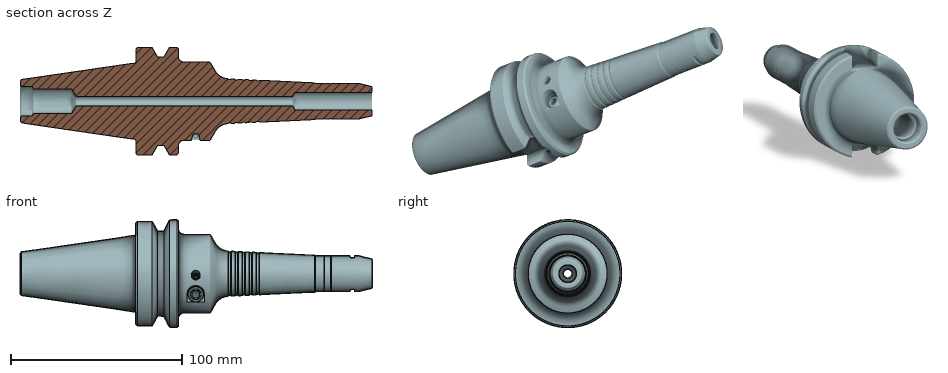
import cadquery as cq
import math


GAUGE_DIAMETER = 44.45
SHANK_LENGTH = 65.4
SHANK_TAPER = 7 / 24
SHANK_CHAMFER = 0.8

FLANGE_DIAMETER = 63.0
FLANGE_START = 2.0
FLANGE_END = 27.0
FLANGE_CHAMFER = 1.0
FLANGE_ROOT_FILLET = 1.0
GROOVE_CENTRE = 16.6
GROOVE_TOP_WIDTH = 10.0
GROOVE_BOTTOM_WIDTH = 3.7
GROOVE_FLANK_ANGLE = 60.0

KEYWAY_WIDTH = 16.1
KEYWAY_FLOOR = 22.5
KEYWAY_END = 23.2

COLLAR_DIAMETER = 46.0
COLLAR_END = 45.4
COLLAR_FILLET = 3.0
COLLAR_EDGE_FILLET = 1.0
SHOULDER_ANGLE = 60.0
NECK_FILLET = 9.0

NECK_END = 106.4
NECK_END_DIAMETER = 21.7
NECK_ANGLE = 2.7
NECK_STEP_LENGTH = 0.6
NOSE_DIAMETER = 21.0
NOSE_TAPER_START = 132.2
NOSE_END = 140.0
NOSE_END_DIAMETER = 17.2
NOSE_FILLET = 1.0

NECK_GROOVE_COUNT = 5
NECK_GROOVE_START = 55.75
NECK_GROOVE_PITCH = 4.1
NECK_GROOVE_WIDTH = 2.0
NECK_GROOVE_FLOOR_WIDTH = 1.24
NECK_GROOVE_DEPTH = 0.4
GROOVE_CUTTER_OVERLAP = 0.01

NOSE_GROOVE_PLACES = (111.7, 115.6)
NOSE_GROOVE_WIDTH = 0.5
NOSE_GROOVE_DEPTH = 0.2

NOSE_POCKET_START = 127.5
NOSE_POCKET_END = 129.6
NOSE_POCKET_FLOOR = 9.3
NOSE_POCKET_FLANK_ANGLE = 60.0
NOSE_POCKET_CLEARANCE = 1.0

PULL_BORE_DIAMETER = 17.0
PULL_BORE_MOUTH_DIAMETER = 18.8
PULL_BORE_DEPTH = 7.0
THREAD_DIAMETER = 16.0
THREAD_CORE_DIAMETER = 14.0
THREAD_RUN_IN_DIAMETER = 14.25
THREAD_RUN_IN_LENGTH = 1.5
THREAD_DEPTH = 30.0
DRILL_POINT_ANGLE = 118.0
COOLANT_DIAMETER = 5.0
TOOL_BORE_DIAMETER = 10.0
TOOL_BORE_MOUTH_DIAMETER = 10.4
TOOL_BORE_DEPTH = 45.0

SCREW_X = 37.0
SCREW_CHAMFER_ANGLE = 45.0

CLAMP_SCREW_Z = -12.0
SPOT_FACE_WIDTH = 10.0
SPOT_FACE_Y = -16.1
CLAMP_SCREW_DIAMETER = 9.0
CLAMP_SCREW_FACE_DIAMETER = 6.2
CLAMP_SOCKET_DIAMETER = 4.62
CLAMP_SOCKET_DEPTH = 3.0

VENT_Z = -0.8
VENT_TILT = 22.0
VENT_DEPTH = 2.5
VENT_SCREW_DIAMETER = 5.0
VENT_SCREW_FACE_DIAMETER = 3.0
VENT_SOCKET_DIAMETER = 2.31
VENT_SOCKET_DEPTH = 1.5


def tan(degrees):
    return math.tan(math.radians(degrees))


def towards(start, end, length):
    """Point at a length from start on the way to end."""
    share = length / math.dist(start, end)
    return tuple(s + share * (e - s) for s, e in zip(start, end))


def add_rounded_corner(profile, before, corner, after, radius):
    """Run the profile up to a corner and round it with a tangent arc."""
    ux, ur = towards(corner, before, 1)
    vx, vr = towards(corner, after, 1)
    dx, dr = ux - corner[0], ur - corner[1]
    ex, er = vx - corner[0], vr - corner[1]
    half_angle = math.acos(dx * ex + dr * er) / 2
    tangent_length = radius / math.tan(half_angle)
    arc_middle_distance = radius / math.sin(half_angle) - radius
    bisector_point = (corner[0] + dx + ex, corner[1] + dr + er)
    return profile.lineTo(*towards(corner, before, tangent_length)).threePointArc(
        towards(corner, bisector_point, arc_middle_distance),
        towards(corner, after, tangent_length),
    )


def revolve(corners):
    """Solid of revolution about X from (x, r) or (x, r, fillet radius) corners, axis to axis."""
    points = [corner[:2] for corner in corners]
    profile = cq.Workplane("XY").moveTo(*points[0])
    for i in range(1, len(corners)):
        if len(corners[i]) == 3:
            profile = add_rounded_corner(
                profile, points[i - 1], points[i], points[i + 1], corners[i][2]
            )
        else:
            profile = profile.lineTo(*points[i])
    return profile.close().revolve(360, (0, 0, 0), (1, 0, 0))


def neck_radius(x):
    return NECK_END_DIAMETER / 2 + (NECK_END - x) * tan(NECK_ANGLE)


def make_body():
    gauge_r = GAUGE_DIAMETER / 2
    small_r = gauge_r - SHANK_LENGTH * SHANK_TAPER / 2
    flange_r = FLANGE_DIAMETER / 2
    collar_r = COLLAR_DIAMETER / 2
    nose_r = NOSE_DIAMETER / 2
    groove_flank = (GROOVE_TOP_WIDTH - GROOVE_BOTTOM_WIDTH) / 2
    groove_r = flange_r - groove_flank * tan(GROOVE_FLANK_ANGLE)
    shoulder_length = (collar_r - neck_radius(COLLAR_END)) / (tan(SHOULDER_ANGLE) - tan(NECK_ANGLE))
    neck_start = COLLAR_END + shoulder_length
    return revolve(
        [
            (-SHANK_LENGTH, 0),
            (-SHANK_LENGTH, small_r - SHANK_CHAMFER),
            (-SHANK_LENGTH + SHANK_CHAMFER, small_r + SHANK_CHAMFER * SHANK_TAPER / 2),
            (0, gauge_r),
            (FLANGE_START, gauge_r, FLANGE_ROOT_FILLET),
            (FLANGE_START, flange_r - FLANGE_CHAMFER),
            (FLANGE_START + FLANGE_CHAMFER, flange_r),
            (GROOVE_CENTRE - GROOVE_TOP_WIDTH / 2, flange_r),
            (GROOVE_CENTRE - GROOVE_BOTTOM_WIDTH / 2, groove_r),
            (GROOVE_CENTRE + GROOVE_BOTTOM_WIDTH / 2, groove_r),
            (GROOVE_CENTRE + GROOVE_TOP_WIDTH / 2, flange_r),
            (FLANGE_END - FLANGE_CHAMFER, flange_r),
            (FLANGE_END, flange_r - FLANGE_CHAMFER),
            (FLANGE_END, collar_r, COLLAR_FILLET),
            (COLLAR_END, collar_r, COLLAR_EDGE_FILLET),
            (neck_start, neck_radius(neck_start), NECK_FILLET),
            (NECK_END, neck_radius(NECK_END)),
            (NECK_END + NECK_STEP_LENGTH, nose_r),
            (NOSE_TAPER_START, nose_r),
            (NOSE_END, NOSE_END_DIAMETER / 2, NOSE_FILLET),
            (NOSE_END, 0),
        ]
    )


def ring_cutter(start, end, radius, floor_start, floor_end, depth):
    """Ring with a trapezoid section that cuts a groove from just outside the surface."""
    return (
        cq.Workplane("XY")
        .polyline(
            [
                (start, radius(start) + GROOVE_CUTTER_OVERLAP),
                (floor_start, radius(floor_start) - depth),
                (floor_end, radius(floor_end) - depth),
                (end, radius(end) + GROOVE_CUTTER_OVERLAP),
            ]
        )
        .close()
        .revolve(360, (0, 0, 0), (1, 0, 0))
    )


def cut_ring_grooves(body):
    flank = (NECK_GROOVE_WIDTH - NECK_GROOVE_FLOOR_WIDTH) / 2
    for i in range(NECK_GROOVE_COUNT):
        start = NECK_GROOVE_START + i * NECK_GROOVE_PITCH
        end = start + NECK_GROOVE_WIDTH
        body = body.cut(
            ring_cutter(start, end, neck_radius, start + flank, end - flank, NECK_GROOVE_DEPTH)
        )
    for start in NOSE_GROOVE_PLACES:
        end = start + NOSE_GROOVE_WIDTH
        body = body.cut(
            ring_cutter(start, end, lambda x: NOSE_DIAMETER / 2, start, end, NOSE_GROOVE_DEPTH)
        )
    return body


def cut_keyways(body):
    half = KEYWAY_WIDTH / 2
    straight_end = KEYWAY_END - half
    keyway = (
        cq.Workplane("XY", origin=(0, 0, KEYWAY_FLOOR))
        .moveTo(0, -half)
        .lineTo(straight_end, -half)
        .threePointArc((KEYWAY_END, 0), (straight_end, half))
        .lineTo(0, half)
        .close()
        .extrude(FLANGE_DIAMETER / 2)
    )
    return body.cut(keyway).cut(keyway.mirror("XY"))


def cut_nose_pockets(body):
    top = NOSE_DIAMETER / 2 + NOSE_POCKET_CLEARANCE
    slope = (top - NOSE_POCKET_FLOOR) / tan(NOSE_POCKET_FLANK_ANGLE)
    pocket = (
        cq.Workplane("XZ")
        .polyline(
            [
                (NOSE_POCKET_START, NOSE_POCKET_FLOOR),
                (NOSE_POCKET_END, NOSE_POCKET_FLOOR),
                (NOSE_POCKET_END, top),
                (NOSE_POCKET_START - slope, top),
            ]
        )
        .close()
        .extrude(NOSE_DIAMETER / 2, both=True)
    )
    return body.cut(pocket).cut(pocket.mirror("XY"))


def cut_axial_bores(body):
    pull_r = PULL_BORE_DIAMETER / 2
    mouth_r = PULL_BORE_MOUTH_DIAMETER / 2
    thread_r = THREAD_DIAMETER / 2
    run_in_r = THREAD_RUN_IN_DIAMETER / 2
    core_r = THREAD_CORE_DIAMETER / 2
    coolant_r = COOLANT_DIAMETER / 2
    tool_r = TOOL_BORE_DIAMETER / 2
    tool_mouth_r = TOOL_BORE_MOUTH_DIAMETER / 2
    pull_end = PULL_BORE_DEPTH - SHANK_LENGTH
    run_in_start = pull_end + thread_r - run_in_r
    run_in_end = run_in_start + THREAD_RUN_IN_LENGTH
    thread_end = THREAD_DEPTH - SHANK_LENGTH
    point_slope = tan(DRILL_POINT_ANGLE / 2)
    tool_bottom = NOSE_END - TOOL_BORE_DEPTH
    bore = revolve(
        [
            (-SHANK_LENGTH, 0),
            (-SHANK_LENGTH, mouth_r),
            (-SHANK_LENGTH + mouth_r - pull_r, pull_r),
            (pull_end, pull_r),
            (pull_end, thread_r),
            (run_in_start, run_in_r),
            (run_in_end, run_in_r),
            (run_in_end, core_r),
            (thread_end, core_r),
            (thread_end + (core_r - coolant_r) / point_slope, coolant_r),
            (tool_bottom - (tool_r - coolant_r) / point_slope, coolant_r),
            (tool_bottom, tool_r),
            (NOSE_END - (tool_mouth_r - tool_r), tool_r),
            (NOSE_END, tool_mouth_r),
            (NOSE_END, 0),
        ]
    )
    return body.cut(bore)


def screw_cutter(sunk_depth, diameter, face_diameter, socket_diameter, socket_depth):
    """Cutter along +Y that leaves a chamfered screw with a drilled socket in a round hole.

    The screw face lies at Y = sunk_depth. The hole starts before Y = 0, to clear a curved surface.
    """
    radius = diameter / 2
    face_r = face_diameter / 2
    socket_r = socket_diameter / 2
    chamfer_end = sunk_depth + (radius - face_r) / tan(SCREW_CHAMFER_ANGLE)
    socket_end = sunk_depth + socket_depth
    point_end = socket_end + socket_r / tan(DRILL_POINT_ANGLE / 2)
    return (
        cq.Workplane("XZ")
        .polyline(
            [
                (0, -radius),
                (radius, -radius),
                (radius, chamfer_end),
                (face_r, sunk_depth),
                (socket_r, sunk_depth),
                (socket_r, socket_end),
                (0, point_end),
            ]
        )
        .close()
        .revolve(360, (0, 0, 0), (0, 1, 0))
        .rotate((0, 0, 0), (1, 0, 0), -90)
    )


def cut_clamp_screw(body):
    """Spot face, open towards -Z, with a screw flush with its floor."""
    reach = COLLAR_DIAMETER / 2
    half = SPOT_FACE_WIDTH / 2
    floor = cq.Workplane("XZ", origin=(SCREW_X, SPOT_FACE_Y, CLAMP_SCREW_Z))
    spot_face = floor.circle(half).extrude(reach)
    runout = floor.center(0, -half).rect(SPOT_FACE_WIDTH, SPOT_FACE_WIDTH).extrude(reach)
    screw = screw_cutter(
        0,
        CLAMP_SCREW_DIAMETER,
        CLAMP_SCREW_FACE_DIAMETER,
        CLAMP_SOCKET_DIAMETER,
        CLAMP_SOCKET_DEPTH,
    ).translate((SCREW_X, SPOT_FACE_Y, CLAMP_SCREW_Z))
    return body.cut(spot_face).cut(runout).cut(screw)


def cut_vent_screw(body):
    """Tilted hole with a small screw sunk in it."""
    screw = screw_cutter(
        VENT_DEPTH,
        VENT_SCREW_DIAMETER,
        VENT_SCREW_FACE_DIAMETER,
        VENT_SOCKET_DIAMETER,
        VENT_SOCKET_DEPTH,
    )
    screw = screw.rotate((0, 0, 0), (1, 0, 0), -VENT_TILT)
    return body.cut(screw.translate((SCREW_X, -COLLAR_DIAMETER / 2, VENT_Z)))


result = make_body()
result = cut_ring_grooves(result)
result = cut_keyways(result)
result = cut_nose_pockets(result)
result = cut_axial_bores(result)
result = cut_clamp_screw(result)
result = cut_vent_screw(result)